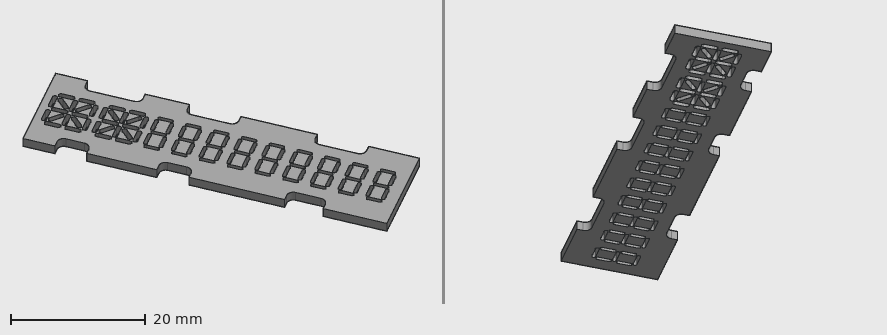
import cadquery as cq

length = 57.0
width = 15.0
thickness = 1.6

notch_depth = 2.0
notch_corner_radius = 1.0
first_notch_start = 5.0
middle_notch_start = 21.0
last_notch_start = 41.0
back_notches = [(first_notch_start, 14.0), (middle_notch_start, 29.0), (last_notch_start, 49.0)]
front_notches = [(first_notch_start, 10.0), (middle_notch_start, 26.0), (last_notch_start, 47.0)]

half_height = 3.2

letter_centers = [-23.7, -15.8]
letter_half_width = 3.2
letter_bar_length = 2.5
letter_bar_width = 0.75
diagonal_angle = 45

digit_count = 9
first_digit_x = -9.8
last_digit_x = 25.0
digit_pitch = (last_digit_x - first_digit_x) / (digit_count - 1)
digit_half_width = 1.2
digit_bar_length = 2.4
digit_bar_width = 0.55


def notch(start, end, edge_y):
    """Cutter for one notch; its rounded block is centered on the plate edge at edge_y."""
    return (
        cq.Workplane("XY")
        .box(end - start, 2 * notch_depth, thickness, centered=(True, True, False))
        .edges("|Z")
        .fillet(notch_corner_radius)
        .translate(((start + end) / 2 - length / 2, edge_y, 0))
    )


def bars(centers, bar_length, bar_width, angle):
    """Cutters for round-ended bars, tilted by angle from the X direction."""
    return (
        cq.Workplane("XY")
        .pushPoints(centers)
        .slot2D(bar_length, bar_width, angle)
        .extrude(thickness, combine=False)
        .vals()
    )


def letter(x):
    """Cutters for a letter: two columns of level and diagonal bars, three of upright bars."""
    column = letter_half_width / 2
    row = half_height / 2
    level = [(x + dx, y) for dx in (-column, column) for y in (-half_height, 0, half_height)]
    upright = [(x + dx, y) for dx in (-letter_half_width, 0, letter_half_width) for y in (-row, row)]
    rising = [(x - column, -row), (x + column, row)]
    falling = [(x - column, row), (x + column, -row)]
    cutters = []
    for centers, angle in (
        (level, 0),
        (upright, 90),
        (rising, diagonal_angle),
        (falling, -diagonal_angle),
    ):
        cutters += bars(centers, letter_bar_length, letter_bar_width, angle)
    return cutters


def digit(x):
    """Cutters for a digit: three level bars and two columns of upright bars."""
    row = half_height / 2
    level = [(x, y) for y in (-half_height, 0, half_height)]
    upright = [(x + dx, y) for dx in (-digit_half_width, digit_half_width) for y in (-row, row)]
    return (
        bars(level, digit_bar_length, digit_bar_width, 0)
        + bars(upright, digit_bar_length, digit_bar_width, 90)
    )


plate = cq.Workplane("XY").box(length, width, thickness, centered=(True, True, False))
for notches, edge_y in ((back_notches, width / 2), (front_notches, -width / 2)):
    for start, end in notches:
        plate = plate.cut(notch(start, end, edge_y))

openings = []
for center in letter_centers:
    openings += letter(center)
for index in range(digit_count):
    openings += digit(first_digit_x + index * digit_pitch)

result = plate.cut(cq.Workplane(cq.Compound.makeCompound(openings))).solids()